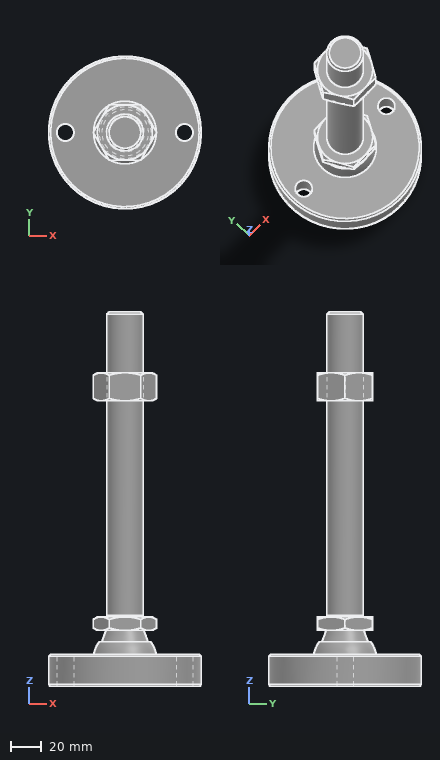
import cadquery as cq
import math

total_height = 245.0

base_diameter = 100.0
base_height = 21.0
base_top_chamfer = 1.5
base_bottom_chamfer_width = 0.7
base_bottom_chamfer_height = 1.5
hub_top = 29.2
hub_top_radius = 17.0
dome_center_height = 16.7
bolt_hole_diameter = 11.0
bolt_hole_offset = 39.0

foot_bottom_radius = 15.2
foot_top_radius = 12.5
collar_bottom = 36.5
collar_height = 8.8
shaft_diameter = 24.0
shaft_top_chamfer = 1.7
shaft_root_chamfer = 1.0

width_across_flats = 36.0
hex_chamfer_angle = 30.0
nut_bottom = 186.7
nut_height = 18.4

base_radius = base_diameter / 2
shaft_radius = shaft_diameter / 2
collar_top = collar_bottom + collar_height


def revolve_profile(profile):
    """Turn a closed half-profile (radius, height) about the Z axis."""
    return profile.close().revolve(360, (0, 0, 0), (0, 1, 0))


def chamfered_hexagon(bottom, height):
    """Hexagonal prism, corners on the X axis, with both ends turned to a cone."""
    flat_radius = width_across_flats / 2
    corner_radius = flat_radius / math.cos(math.radians(30))
    corner_drop = (corner_radius - flat_radius) * math.tan(math.radians(hex_chamfer_angle))
    top = bottom + height

    prism = cq.Workplane("XY").workplane(offset=bottom).polygon(6, 2 * corner_radius).extrude(height)
    envelope = revolve_profile(
        cq.Workplane("XZ")
        .moveTo(0, bottom)
        .lineTo(flat_radius, bottom)
        .lineTo(corner_radius, bottom + corner_drop)
        .lineTo(corner_radius, top - corner_drop)
        .lineTo(flat_radius, top)
        .lineTo(0, top)
    )
    return prism.intersect(envelope)


def make_base():
    """Disc and spherical hub, pierced by two bolt holes."""
    dome_radius = math.hypot(hub_top_radius, hub_top - dome_center_height)

    def dome_radius_at(height):
        return math.sqrt(dome_radius**2 - (height - dome_center_height) ** 2)

    middle_height = (base_height + hub_top) / 2
    body = revolve_profile(
        cq.Workplane("XZ")
        .moveTo(0, 0)
        .lineTo(base_radius - base_bottom_chamfer_width, 0)
        .lineTo(base_radius, base_bottom_chamfer_height)
        .lineTo(base_radius, base_height - base_top_chamfer)
        .lineTo(base_radius - base_top_chamfer, base_height)
        .lineTo(dome_radius_at(base_height), base_height)
        .threePointArc((dome_radius_at(middle_height), middle_height), (hub_top_radius, hub_top))
        .lineTo(0, hub_top)
    )
    holes = (
        cq.Workplane("XY")
        .pushPoints([(-bolt_hole_offset, 0), (bolt_hole_offset, 0)])
        .circle(bolt_hole_diameter / 2)
        .extrude(base_height)
    )
    return body.cut(holes)


def make_spindle():
    """Foot resting on the hub, hexagon collar and shaft in one piece."""
    turned = revolve_profile(
        cq.Workplane("XZ")
        .moveTo(0, hub_top)
        .lineTo(foot_bottom_radius, hub_top)
        .lineTo(foot_top_radius, collar_bottom)
        .lineTo(shaft_radius - shaft_root_chamfer, collar_top)
        .lineTo(shaft_radius, collar_top + shaft_root_chamfer)
        .lineTo(shaft_radius, total_height - shaft_top_chamfer)
        .lineTo(shaft_radius - shaft_top_chamfer, total_height)
        .lineTo(0, total_height)
    )
    return turned.union(chamfered_hexagon(collar_bottom, collar_height))


def make_lock_nut():
    """Hexagon nut whose bore fits the shaft."""
    bore = cq.Workplane("XY").workplane(offset=nut_bottom).circle(shaft_radius).extrude(nut_height)
    return chamfered_hexagon(nut_bottom, nut_height).cut(bore)


base = make_base()
spindle = make_spindle()
lock_nut = make_lock_nut()

result = cq.Compound.makeCompound([base.val(), spindle.val(), lock_nut.val()])